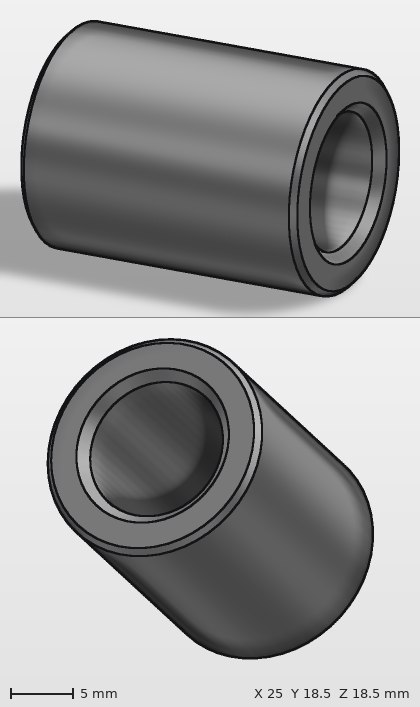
import cadquery as cq

length = 25.0
outer_diameter = 18.5
outer_chamfer = 0.5
bore_diameter = 11.45
mouth_diameter = 13.15

outer_radius = outer_diameter / 2
bore_radius = bore_diameter / 2
mouth_radius = mouth_diameter / 2
mouth_depth = mouth_radius - bore_radius
half_length = length / 2

section = (
    cq.Workplane("XY")
    .moveTo(-half_length, mouth_radius)
    .lineTo(-half_length, outer_radius - outer_chamfer)
    .lineTo(-half_length + outer_chamfer, outer_radius)
    .lineTo(half_length - outer_chamfer, outer_radius)
    .lineTo(half_length, outer_radius - outer_chamfer)
    .lineTo(half_length, mouth_radius)
    .lineTo(half_length - mouth_depth, bore_radius)
    .lineTo(-half_length + mouth_depth, bore_radius)
    .close()
)

result = section.revolve(360, (0, 0, 0), (1, 0, 0))